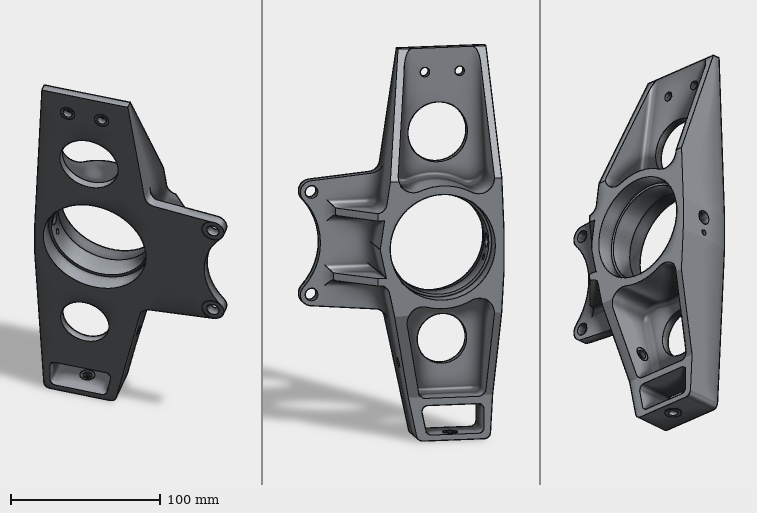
import cadquery as cq
import math


depth = 40.2
top_z = 129.5
bottom_z = -134.0
left_x = -42.0
top_left_x = -37.0
top_right_x = 23.2
bottom_left_x = -35.5
bottom_right_x = 14.3
widest_x = 42.8
flat_top_z = 7.5
flat_bottom_z = -15.9
corner_radius = 4.5

plate_thickness = 5.5
upper_taper_z = 45.7
lower_taper_z = -46.0
foot_top_z = -104.0
foot_depth = 26.5

seat_radius = 36.0
shoulder_radius = 34.0
seat_depth = 12.2
hub_radius = 41.7

wall = 5.0
lower_right_wall = 7.5
hub_corner_radius = 10.5
lower_corner_radius = 5.3
pocket_floor_fillet = 4.2

arm_thickness = 7.1
lug_x = 82.7
lug_z = 35.0
lug_radius = 7.7
lug_hole_radius = 4.2
arm_root_x = 40.5
arm_root_z = 46.2
arm_root_fillet = 8.0
clearance_radius = 43.5

rib_outer_z = 24.5
rib_start_x = 44.5
rib_foot_height = 13.5
upper_rib_foot_x = 67.6
lower_rib_foot_x = 69.2
rib_corner_fillet = 7.1
rib_fillet = 5.5

upper_hole = (-4.0, 72.0)
upper_hole_radius = 20.3
lower_hole = (-7.0, -68.5)
lower_hole_radius = 17.0
window_left_x = -31.2
window_top_z = -110.0
window_bottom_z = -130.0
window_top_right_x = 12.2
window_bottom_right_x = 8.0
window_corner_radius = 4.0

spotface_depth = 0.3
top_bolt_xs = (-19.0, 4.8)
top_bolt_z = 113.0
bolt_hole_radius = 3.2
bolt_spotface_radius = 5.0
side_hole_y = depth / 2
side_hole_radius = 4.8
pin_hole_z = -11.4
pin_hole_radius = 1.8
inner_bolt_y = 16.5
wall_bolt_z = -80.0
foot_bolt_x = -10.0
foot_boss_radius = 5.5
foot_boss_height = 0.8

margin = 13.2

lower_right_slant = math.hypot(1, (widest_x - bottom_right_x) / bottom_z)


def front_sketch(y=0.0):
    """Workplane in X and Z at the given Y; extruding by a negative length goes to +Y."""
    return cq.Workplane("XZ", origin=(0, y, 0))


def cylinder(start, direction, radius, length):
    return cq.Workplane(cq.Solid.makeCylinder(radius, length, cq.Vector(*start), cq.Vector(*direction)))


def along(start, end, z):
    """X at height Z on the straight line through two (x, z) points."""
    return start[0] + (end[0] - start[0]) * (z - start[1]) / (end[1] - start[1])


def body_outline(overrun=0.0):
    """Corners of the body; the overrun stretches the slanting sides past both ends."""
    high_z = top_z + overrun
    low_z = bottom_z - overrun
    return [
        (along((left_x, flat_top_z), (top_left_x, top_z), high_z), high_z),
        (along((widest_x, 0), (top_right_x, top_z), high_z), high_z),
        (widest_x, 0),
        (along((widest_x, 0), (bottom_right_x, bottom_z), low_z), low_z),
        (along((left_x, flat_bottom_z), (bottom_left_x, bottom_z), low_z), low_z),
        (left_x, flat_bottom_z),
        (left_x, flat_top_z),
    ]


def body_block():
    block = front_sketch().polyline(body_outline()).close().extrude(-depth)
    block = block.faces("<Z").edges("|Y").fillet(corner_radius)
    side_profile = [
        (0, top_z),
        (plate_thickness, top_z),
        (depth, upper_taper_z),
        (depth, lower_taper_z),
        (foot_depth, foot_top_z),
        (foot_depth, bottom_z),
        (0, bottom_z),
    ]
    width = 2 * widest_x + 2 * margin
    envelope = cq.Workplane("YZ").polyline(side_profile).close().extrude(width / 2, both=True)
    return block.intersect(envelope)


def arm_plate():
    """Plate reaching out to the lugs, with a concave arc tangent to both of them."""
    center_x = lug_x + math.sqrt((clearance_radius + lug_radius) ** 2 - lug_z ** 2)
    lean = math.atan2(arm_root_z - lug_z - lug_radius, lug_x - arm_root_x)
    tangent_x = lug_x + lug_radius * math.sin(lean)
    tangent_z = lug_z + lug_radius * math.cos(lean)
    reach = lug_radius / (lug_radius + clearance_radius)
    meet_x = lug_x + reach * (center_x - lug_x)
    meet_z = lug_z * (1 - reach)
    inner_x = 0
    inner_z = tangent_z + (tangent_x - inner_x) * math.tan(lean)
    return (
        front_sketch()
        .moveTo(inner_x, inner_z)
        .lineTo(tangent_x, tangent_z)
        .threePointArc((lug_x + lug_radius, lug_z), (meet_x, meet_z))
        .threePointArc((center_x - clearance_radius, 0), (meet_x, -meet_z))
        .threePointArc((lug_x + lug_radius, -lug_z), (tangent_x, -tangent_z))
        .lineTo(inner_x, -inner_z)
        .close()
        .extrude(-arm_thickness)
    )


def rib(low_z, foot_x):
    profile = [
        (0, 0),
        (0, depth),
        (rib_start_x, depth),
        (foot_x, rib_foot_height),
        (foot_x, 0),
    ]
    return cq.Workplane("XY", origin=(0, 0, low_z)).polyline(profile).close().extrude(wall)


def box_between(low, high):
    return cq.selectors.BoxSelector(low, high)


def braced_body():
    """Body, arm and ribs, blended where they meet."""
    solid = body_block().union(arm_plate())
    root_reach = arm_root_z + arm_root_fillet
    root_box = box_between((bottom_right_x, -0.3, -root_reach), (widest_x, arm_thickness, root_reach))
    solid = solid.edges("|Y").edges(root_box).fillet(arm_root_fillet)
    solid = solid.union(rib(rib_outer_z - wall, upper_rib_foot_x))
    solid = solid.union(rib(-rib_outer_z, lower_rib_foot_x))

    for side in (1, -1):
        corner_z = side * rib_outer_z
        corner_box = box_between(
            (top_right_x, arm_thickness, corner_z - 0.3),
            (widest_x, depth, corner_z + 0.3),
        )
        solid = solid.edges("|Y").edges(corner_box).fillet(rib_corner_fillet)

    foot_box = box_between(
        (top_right_x, arm_thickness - 0.3, -lug_z),
        (lower_rib_foot_x + 0.3, arm_thickness + 0.3, lug_z),
    )
    return solid.edges(foot_box).fillet(rib_fillet)


def pocket_tool(low_z, high_z, right_wall):
    """Space inside the side walls and outside the hub, between two heights."""
    stretched = front_sketch(plate_thickness).polyline(body_outline(margin)).close().offset2D(-wall)
    inside = stretched.extrude(-depth)
    thickening = (right_wall - wall) * lower_right_slant
    inside = inside.intersect(inside.translate((-thickening, 0, 0)))
    hub = front_sketch(plate_thickness).circle(hub_radius).extrude(-depth)
    width = 2 * (widest_x + margin)
    slab = cq.Workplane("XY", origin=(0, depth, low_z)).rect(width, 2 * depth).extrude(high_z - low_z)
    tool = inside.intersect(slab).cut(hub)
    hub_box = box_between((-width, 0, -hub_radius), (width, 2 * depth, hub_radius))
    return tool.edges("|Y").edges(hub_box).fillet(hub_corner_radius)


def round_floor(tool):
    return tool.faces("<Y").edges().fillet(pocket_floor_fillet)


def window_tool():
    outline = [
        (window_left_x, window_top_z),
        (window_top_right_x, window_top_z),
        (window_bottom_right_x, window_bottom_z),
        (window_left_x, window_bottom_z),
    ]
    tool = front_sketch().polyline(outline).close().extrude(-depth)
    return tool.edges("|Y").fillet(window_corner_radius)


def front_hole(x, z, radius, length):
    return cylinder((x, 0, z), (0, 1, 0), radius, length)


def bolt_hole(start, direction, length, radius=bolt_hole_radius, spotface_radius=bolt_spotface_radius):
    """Hole with a shallow spotface where it starts."""
    hole = cylinder(start, direction, radius, length)
    return hole.union(cylinder(start, direction, spotface_radius, spotface_depth))


def bearing_bore():
    bore = front_hole(0, 0, shoulder_radius, depth)
    bore = bore.union(front_hole(0, 0, seat_radius, seat_depth))
    rear_seat = cylinder((0, depth - seat_depth, 0), (0, 1, 0), seat_radius, seat_depth)
    return bore.union(rear_seat)


def side_hole(z, radius):
    return cylinder((left_x - 2.6, side_hole_y, z), (1, 0, 0), radius, -left_x)


result = braced_body()

upper_pocket = pocket_tool(0, top_z + margin, wall)
lower_pocket = pocket_tool(window_top_z + wall, 0, lower_right_wall)
lower_pocket = lower_pocket.faces("<Z").edges("|Y").fillet(lower_corner_radius)
result = result.cut(round_floor(upper_pocket))
result = result.cut(round_floor(lower_pocket))
result = result.cut(window_tool())
hole_depth = plate_thickness + pocket_floor_fillet
result = result.cut(front_hole(*upper_hole, upper_hole_radius, hole_depth))
result = result.cut(front_hole(*lower_hole, lower_hole_radius, hole_depth))

result = result.cut(bearing_bore())

for x in top_bolt_xs:
    result = result.cut(bolt_hole((x, 0, top_bolt_z), (0, 1, 0), depth))
for z in (lug_z, -lug_z):
    result = result.cut(bolt_hole((lug_x, 0, z), (0, 1, 0), depth, lug_hole_radius, lug_radius))

result = result.cut(side_hole(0, side_hole_radius))
result = result.cut(side_hole(pin_hole_z, pin_hole_radius))

wall_normal = (-bottom_z, 0, bottom_right_x - widest_x)
wall_outer_x = along((widest_x, 0), (bottom_right_x, bottom_z), wall_bolt_z)
wall_inner_x = wall_outer_x - lower_right_wall * lower_right_slant
wall_bolt_start = (wall_inner_x, inner_bolt_y, wall_bolt_z)
result = result.cut(bolt_hole(wall_bolt_start, wall_normal, 2 * lower_right_wall))

foot_boss_start = (foot_bolt_x, inner_bolt_y, bottom_z)
result = result.union(cylinder(foot_boss_start, (0, 0, -1), foot_boss_radius, foot_boss_height))
foot_bolt_start = (foot_bolt_x, inner_bolt_y, window_bottom_z)
result = result.cut(bolt_hole(foot_bolt_start, (0, 0, -1), 2 * wall))